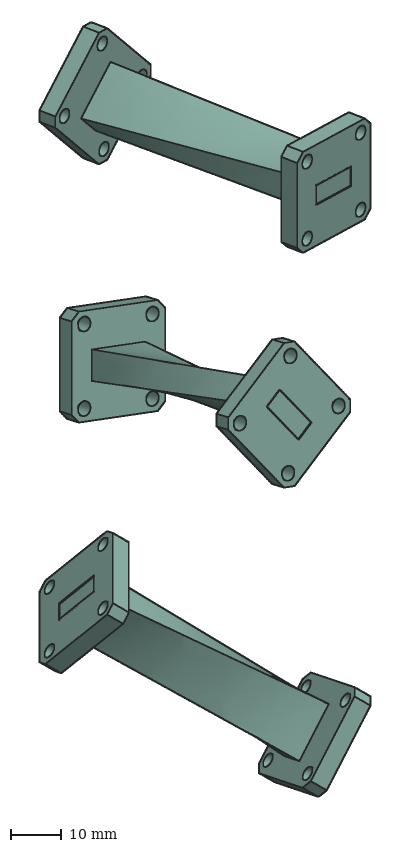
import cadquery as cq

total_length = 63.5

flange_side = 22.35
flange_thickness = 4.1
corner_chamfer = 1.8
hole_diameter = 3.0
hole_spacing_wide = 16.25
hole_spacing_narrow = 17.0

tube_width = 12.7
tube_height = 6.35
twist_angle = 45.0
tube_start = flange_thickness
tube_end = total_length - flange_thickness

window_width = 10.65
window_height = 4.3
window_depth = 0.25


def section(x, angle):
    """Workplane across the axis at x, facing +X; its local X is +Y turned by angle about the axis."""
    plane = cq.Plane(origin=(x, 0, 0), xDir=(0, 1, 0), normal=(1, 0, 0))
    return cq.Workplane(plane.rotated((0, 0, angle)))


def bolt_holes(x, angle):
    """Four cylinders through a flange starting at x."""
    return (
        section(x, angle)
        .rect(hole_spacing_wide, hole_spacing_narrow, forConstruction=True)
        .vertices()
        .circle(hole_diameter / 2)
        .extrude(flange_thickness)
    )


def flange(x, angle):
    """Square flange with chamfered corners and four bolt holes."""
    return (
        section(x, angle)
        .rect(flange_side, flange_side)
        .extrude(flange_thickness)
        .edges("|X")
        .chamfer(corner_chamfer)
        .cut(bolt_holes(x, angle))
    )


def twisted_tube():
    """Solid body whose corners run straight from the turned section to the level one."""
    sections = [
        section(x, angle).rect(tube_width, tube_height).wires().val()
        for x, angle in ((tube_start, twist_angle), (tube_end, 0))
    ]
    return cq.Workplane(cq.Solid.makeLoft(sections, True))


def window(x, angle):
    """Block that cuts the waveguide opening recess."""
    return section(x, angle).rect(window_width, window_height).extrude(window_depth)


result = (
    flange(0, twist_angle)
    .union(twisted_tube())
    .union(flange(tube_end, 0))
    .cut(window(0, twist_angle))
    .cut(window(total_length - window_depth, 0))
)